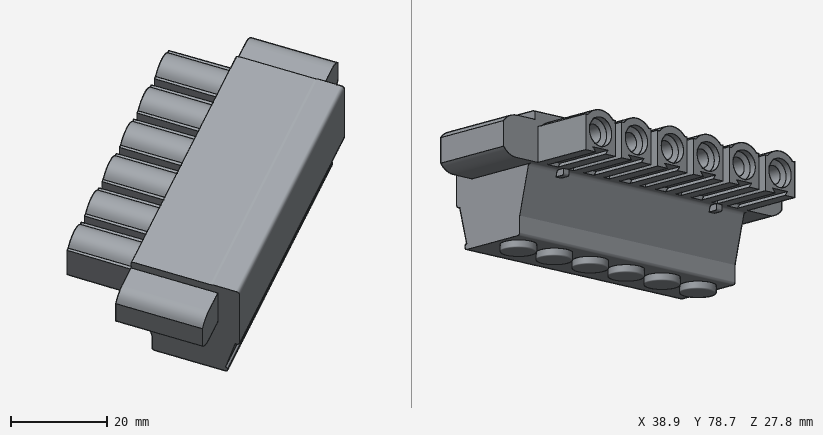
import cadquery as cq
import math


POLES = 6
PITCH = 10.15
TOTAL_WIDTH = 78.7
TOTAL_DEPTH = 38.9
BODY_WIDTH = POLES * PITCH
POLE_Y = [(i - (POLES - 1) / 2) * PITCH for i in range(POLES)]

BORE_Z = 19.45
SHELF_Z = 14.9

BODY_DEPTH = 24.25
FRONT_TOP_Z = 26.0
REAR_TOP_Z = 26.1
RAMP_START_X = 17.7
RAMP_END_X = 18.3
OVERHANG = 2.0
NECK_X = 4.7
NECK_TOP_Z = 4.2
REAR_LEDGE_X = 23.2
REAR_LEDGE_Z = 9.45
BEAD_ROOT_X = 21.1
BEAD_ROOT_Z = 1.3
BEAD_X = 21.6
BEAD_Z = 0.95
FRONT_TOP_RADIUS = 0.6
REAR_TOP_RADIUS = 0.8
REAR_LEDGE_RADIUS = 0.9
OVERHANG_RADIUS = 0.7
BOTTOM_RADIUS = 0.55

LUG_DEPTH = 19.4
LUG_TOP_Z = 2 * BORE_Z - SHELF_Z
LUG_CORNER_RADIUS = 4.6
LUG_CORNER_WIDTH = 3.55
LUG_CORNER_HEIGHT = 1.8

PLUG_LENGTH = TOTAL_DEPTH - BODY_DEPTH
PLUG_TIP_WIDTH = 8.35
PLUG_ROOT_WIDTH = 8.6
PLUG_CROWN_RADIUS = 4.7
PLUG_SHOULDER_Z = 22.6

SOCKET_DIAMETER = 6.3
SOCKET_DEPTH = 1.6
BORE_DIAMETER = 4.1
CONE_LENGTH = 0.6
BORE_DEPTH = 11.8

GROOVE_HEIGHT = 0.95
GROOVE_TOP_WIDTH = 4.2
GROOVE_MOUTH_WIDTH = 2.8

SCREW_X = 10.6
SCREW_DIAMETER = 7.6
SCREW_HEIGHT = 1.65
SCREW_EDGE_RADIUS = 0.2

TAB_Y = 21.65
TAB_WIDTH = 1.5
TAB_DEPTH = 2.4
TAB_HEIGHT = 1.4
TAB_EDGE_RADIUS = 0.4


def round_edge(solid, x, z, radius):
    """Round the edge along Y that passes through (x, z)."""
    edge = solid.edges("|Y").edges(cq.selectors.NearestToPointSelector((x, 0, z)))
    return edge.fillet(radius)


def make_body():
    outline = [
        (0, SHELF_Z),
        (0, FRONT_TOP_Z),
        (RAMP_START_X, FRONT_TOP_Z),
        (RAMP_END_X, REAR_TOP_Z),
        (BODY_DEPTH, REAR_TOP_Z),
        (BODY_DEPTH, REAR_LEDGE_Z),
        (REAR_LEDGE_X, REAR_LEDGE_Z),
        (BEAD_ROOT_X, BEAD_ROOT_Z),
        (BEAD_X, BEAD_Z),
        (BEAD_X, 0),
        (NECK_X, 0),
        (NECK_X, NECK_TOP_Z),
        (OVERHANG, SHELF_Z),
    ]
    body = cq.Workplane("XZ").polyline(outline).close().extrude(BODY_WIDTH / 2, both=True)
    body = round_edge(body, 0, FRONT_TOP_Z, FRONT_TOP_RADIUS)
    body = round_edge(body, BODY_DEPTH, REAR_TOP_Z, REAR_TOP_RADIUS)
    body = round_edge(body, BODY_DEPTH, REAR_LEDGE_Z, REAR_LEDGE_RADIUS)
    body = round_edge(body, OVERHANG, SHELF_Z, OVERHANG_RADIUS)
    body = round_edge(body, NECK_X, 0, BOTTOM_RADIUS)
    return round_edge(body, BEAD_X, 0, BOTTOM_RADIUS)


def make_lugs():
    """One bar across the whole width; its two rounded ends stand out of the body."""
    end_y = TOTAL_WIDTH / 2
    flat_y = end_y - LUG_CORNER_WIDTH
    end_low_z = SHELF_Z + LUG_CORNER_HEIGHT
    end_high_z = LUG_TOP_Z - LUG_CORNER_HEIGHT
    return (
        cq.Workplane("YZ")
        .moveTo(-flat_y, SHELF_Z)
        .lineTo(flat_y, SHELF_Z)
        .radiusArc((end_y, end_low_z), -LUG_CORNER_RADIUS)
        .lineTo(end_y, end_high_z)
        .radiusArc((flat_y, LUG_TOP_Z), -LUG_CORNER_RADIUS)
        .lineTo(-flat_y, LUG_TOP_Z)
        .radiusArc((-end_y, end_high_z), -LUG_CORNER_RADIUS)
        .lineTo(-end_y, end_low_z)
        .radiusArc((-flat_y, SHELF_Z), -LUG_CORNER_RADIUS)
        .close()
        .extrude(LUG_DEPTH)
    )


def plug_outline(x, width):
    """Closed wire across X: straight sides, small shoulders and a round crown."""
    half = width / 2
    crown_half = math.sqrt(PLUG_CROWN_RADIUS**2 - (PLUG_SHOULDER_Z - BORE_Z) ** 2)
    return (
        cq.Workplane("YZ", origin=(x, 0, 0))
        .moveTo(-half, SHELF_Z)
        .lineTo(half, SHELF_Z)
        .lineTo(half, PLUG_SHOULDER_Z)
        .lineTo(crown_half, PLUG_SHOULDER_Z)
        .threePointArc((0, BORE_Z + PLUG_CROWN_RADIUS), (-crown_half, PLUG_SHOULDER_Z))
        .lineTo(-half, PLUG_SHOULDER_Z)
        .close()
        .val()
    )


def make_socket():
    """Entry bore, cone and narrow blind bore, turned about the plug axis."""
    tip_x = -PLUG_LENGTH
    entry_x = tip_x + SOCKET_DEPTH
    cone_x = entry_x + CONE_LENGTH
    end_x = tip_x + BORE_DEPTH
    return (
        cq.Workplane("XY", origin=(0, 0, BORE_Z))
        .moveTo(tip_x, 0)
        .lineTo(tip_x, SOCKET_DIAMETER / 2)
        .lineTo(entry_x, SOCKET_DIAMETER / 2)
        .lineTo(cone_x, BORE_DIAMETER / 2)
        .lineTo(end_x, BORE_DIAMETER / 2)
        .lineTo(end_x, 0)
        .close()
        .revolve(360, (0, 0, 0), (1, 0, 0))
    )


def make_groove():
    groove_top_z = SHELF_Z + GROOVE_HEIGHT
    outline = [
        (-GROOVE_MOUTH_WIDTH / 2, SHELF_Z),
        (GROOVE_MOUTH_WIDTH / 2, SHELF_Z),
        (GROOVE_TOP_WIDTH / 2, groove_top_z),
        (-GROOVE_TOP_WIDTH / 2, groove_top_z),
    ]
    return cq.Workplane("YZ").polyline(outline).close().extrude(-PLUG_LENGTH)


def make_plug():
    tip = plug_outline(-PLUG_LENGTH, PLUG_TIP_WIDTH)
    root = plug_outline(0, PLUG_ROOT_WIDTH)
    plug = cq.Workplane(cq.Solid.makeLoft([tip, root], True))
    return plug.cut(make_socket()).cut(make_groove())


def make_screw_head():
    return (
        cq.Workplane("XY")
        .center(SCREW_X, 0)
        .circle(SCREW_DIAMETER / 2)
        .extrude(-SCREW_HEIGHT)
        .faces("<Z")
        .edges()
        .fillet(SCREW_EDGE_RADIUS)
    )


def make_tab():
    tab = cq.Workplane("XY", origin=(0, 0, SHELF_Z - TAB_HEIGHT)).box(
        TAB_DEPTH, TAB_WIDTH, TAB_HEIGHT, centered=(False, True, False)
    )
    return tab.edges("<X and <Z").fillet(TAB_EDGE_RADIUS)


result = make_body().union(make_lugs())
for y in POLE_Y:
    result = result.union(make_plug().translate((0, y, 0)))
    result = result.union(make_screw_head().translate((0, y, 0)))
for y in (-TAB_Y, TAB_Y):
    result = result.union(make_tab().translate((0, y, 0)))